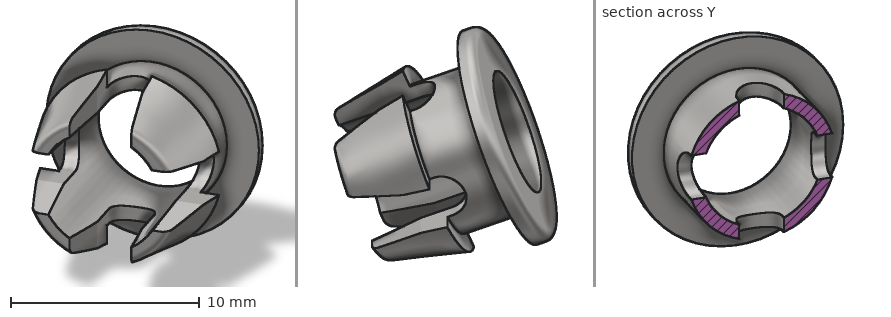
import cadquery as cq

length = 9.0
flange_radius = 6.0
flange_thickness = 1.0
flange_rounding = flange_thickness / 2
sleeve_radius = 4.2
bore_radius = 3.4

barb_start = length / 2
barb_radius = 5.2
tip_radius = sleeve_radius
tip_rounding = 0.5

slot_start = 3.0
slot_half_width = 1.26
slot_flare_start = 6.0
slot_tip_half_width = 1.74


def make_bushing():
    """Revolve the stepped outer profile, round its end rims and bore it through."""
    profile = [
        (0, 0),
        (flange_radius, 0),
        (flange_radius, -flange_thickness),
        (sleeve_radius, -flange_thickness),
        (sleeve_radius, -barb_start),
        (barb_radius, -barb_start),
        (tip_radius, -length),
        (0, -length),
    ]
    body = cq.Workplane("XY").polyline(profile).close().revolve(360, (0, 0, 0), (0, 1, 0))
    body = body.faces(">Y").edges().fillet(flange_rounding)
    body = body.faces("<Y").edges().fillet(tip_rounding)
    bore = cq.Workplane("XZ").circle(bore_radius).extrude(length)
    return body.cut(bore)


def make_slot():
    """Slot along Z through both walls, round at its inner end and flared at the tips."""
    arc_center = slot_start + slot_half_width
    return (
        cq.Workplane("XY")
        .moveTo(-slot_half_width, -arc_center)
        .threePointArc((0, -slot_start), (slot_half_width, -arc_center))
        .lineTo(slot_half_width, -slot_flare_start)
        .lineTo(slot_tip_half_width, -length)
        .lineTo(-slot_tip_half_width, -length)
        .lineTo(-slot_half_width, -slot_flare_start)
        .close()
        .extrude(flange_radius, both=True)
    )


result = make_bushing()
for slot_angle in (0, 90):
    result = result.cut(make_slot().rotate((0, 0, 0), (0, 1, 0), slot_angle))

result = result.translate((0, length / 2, 0))